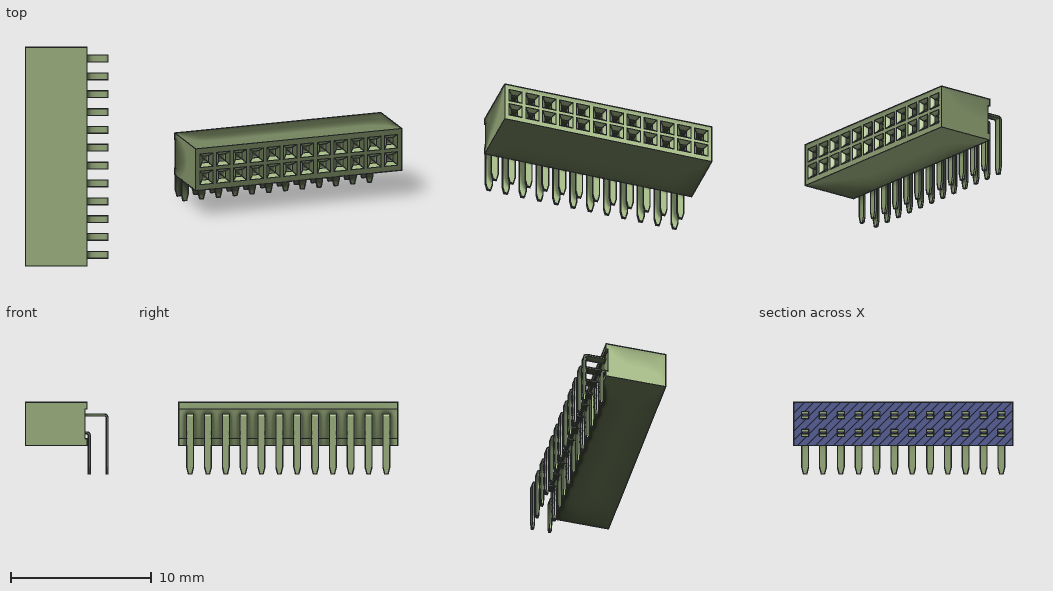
import cadquery as cq

PITCH = 1.27
COLUMNS = 12
ROWS = 2

BODY_DEPTH = 4.4
BODY_END_MARGIN = 0.35
BODY_LENGTH = COLUMNS * PITCH + BODY_END_MARGIN
BODY_HEIGHT = 3.1

LIP_HEIGHT = 0.5
LIP_DEPTH = 0.15
RECESS_X = BODY_DEPTH - LIP_DEPTH

SOCKET_MOUTH = 1.0
BORE_SIDE = 0.5
FUNNEL_DEPTH = (SOCKET_MOUTH - BORE_SIDE) / 2
REAR_WALL = 0.5
SOCKET_DEPTH = RECESS_X - REAR_WALL

BLADE_WIDTH = 0.42
BLADE_LENGTH = 1.0

PIN_WIDTH = 0.5
PIN_THICKNESS = 0.15
PIN_BEND_RADIUS = 0.25
PIN_REACH = 5.89
PIN_DROP = 2.02
PIN_TIP_LENGTH = 0.5
PIN_TIP_WIDTH = 0.25


def column_y(column):
    return (column - (COLUMNS - 1) / 2) * PITCH


def row_z(row):
    """Height of a contact row, counted from the bottom row."""
    return BODY_HEIGHT / 2 + (row - (ROWS - 1) / 2) * PITCH


def make_body():
    body = cq.Workplane("XY").box(BODY_DEPTH, BODY_LENGTH, BODY_HEIGHT, centered=(False, True, False))
    recess_height = BODY_HEIGHT - 2 * LIP_HEIGHT
    recess = (
        cq.Workplane("XY")
        .box(LIP_DEPTH, BODY_LENGTH, recess_height, centered=(False, True, False))
        .translate((RECESS_X, 0, LIP_HEIGHT))
    )
    return body.cut(recess)


def make_socket():
    """Cutter for one socket, centred on the X axis and leaving its contact blade standing."""
    funnel = (
        cq.Workplane("YZ")
        .rect(SOCKET_MOUTH, SOCKET_MOUTH)
        .workplane(offset=FUNNEL_DEPTH)
        .rect(BORE_SIDE, BORE_SIDE)
        .loft(ruled=True)
    )
    bore = (
        cq.Workplane("YZ", origin=(FUNNEL_DEPTH, 0, 0))
        .rect(BORE_SIDE, BORE_SIDE)
        .extrude(SOCKET_DEPTH - FUNNEL_DEPTH)
    )
    blade = (
        cq.Workplane("YZ", origin=(SOCKET_DEPTH, 0, 0))
        .rect(BLADE_WIDTH, PIN_THICKNESS)
        .extrude(-BLADE_LENGTH)
    )
    return funnel.union(bore).cut(blade)


def make_pin(row):
    """Bent pin of one row, centred on Y = 0; higher rows reach further back."""
    top = row_z(row) + PIN_THICKNESS / 2
    back = PIN_REACH - (ROWS - 1 - row) * PITCH
    start = SOCKET_DEPTH
    bend_x = back - PIN_BEND_RADIUS
    bend_z = top - PIN_BEND_RADIUS
    inner_radius = PIN_BEND_RADIUS - PIN_THICKNESS
    strip = (
        cq.Workplane("XZ")
        .moveTo(start, top)
        .lineTo(bend_x, top)
        .radiusArc((back, bend_z), PIN_BEND_RADIUS)
        .lineTo(back, -PIN_DROP)
        .lineTo(back - PIN_THICKNESS, -PIN_DROP)
        .lineTo(back - PIN_THICKNESS, bend_z)
        .radiusArc((bend_x, top - PIN_THICKNESS), -inner_radius)
        .lineTo(start, top - PIN_THICKNESS)
        .close()
        .extrude(PIN_WIDTH / 2, both=True)
    )
    half_width = PIN_WIDTH / 2
    half_tip = PIN_TIP_WIDTH / 2
    shoulder_z = PIN_TIP_LENGTH - PIN_DROP
    tapered_outline = (
        cq.Workplane("YZ")
        .polyline([
            (-half_tip, -PIN_DROP),
            (half_tip, -PIN_DROP),
            (half_width, shoulder_z),
            (half_width, top),
            (-half_width, top),
            (-half_width, shoulder_z),
        ])
        .close()
        .extrude(PIN_REACH)
    )
    return strip.intersect(tapered_outline)


def build():
    sockets = []
    pins = []
    socket = make_socket().val()
    for row in range(ROWS):
        pin = make_pin(row).val()
        for column in range(COLUMNS):
            y = column_y(column)
            sockets.append(socket.translate(cq.Vector(0, y, row_z(row))))
            pins.append(pin.translate(cq.Vector(0, y, 0)))
    body = make_body().val().cut(*sockets)
    return cq.Workplane(body.fuse(*pins))


result = build()